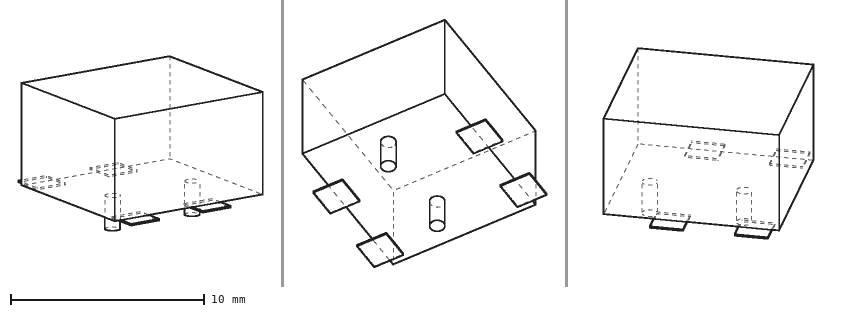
import cadquery as cq

housing_width = 8.56
housing_depth = 9.3
housing_height = 5.5

overall_width = 10.36
pad_length = 1.76
pad_width = 1.76
pad_thickness = 0.09
pad_pitch = 4.5
pad_row_center_y = -1.12

pin_diameter = 0.8
pin_length = 1.8
pin_pitch = 5.0
pin_row_center_y = 0.63


def make_housing():
    return cq.Workplane("XY").box(
        housing_width, housing_depth, housing_height, centered=(True, True, False)
    )


def make_pad(x, y):
    """Thin rectangular pad centred on (x, y), with its top on the seating plane."""
    return cq.Workplane("XY").center(x, y).rect(pad_length, pad_width).extrude(-pad_thickness)


def make_pin(y):
    """Round pin on the X centre line, reaching down from the seating plane."""
    return cq.Workplane("XY").center(0, y).circle(pin_diameter / 2).extrude(-pin_length)


housing = make_housing()

pad_center_x = (overall_width - pad_length) / 2
pads = []
pins = []
for row_side in (-1, 1):
    pad_y = pad_row_center_y + row_side * pad_pitch / 2
    for side in (-1, 1):
        pads.append(make_pad(side * pad_center_x, pad_y).val())
    pin_y = pin_row_center_y + row_side * pin_pitch / 2
    pins.append(make_pin(pin_y).val())

result = cq.Compound.makeCompound([housing.val(), *pads, *pins])